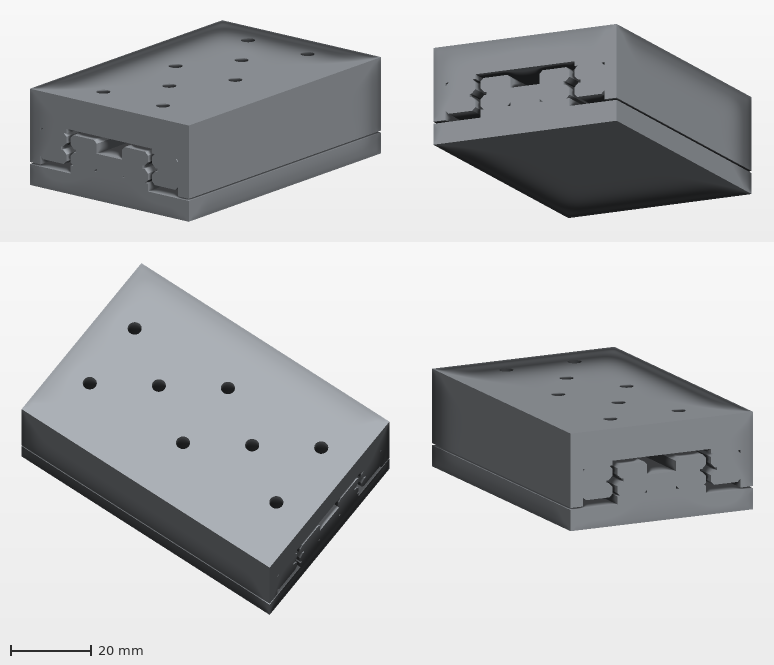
import cadquery as cq

width = 50.8
length = 76.2
height = 25.0

base_thickness = 5.4
step_top = 7.5
rib_top = 12.1

rail_width = 8.3
rail_height = 8.1
rail_corner_chamfer = 0.85
inner_rail_start = 4.05
rail_gap = 1.4

vee_half_height = 1.45
relief_half_height = 0.4
relief_depth = 1.7

carriage_gap = 0.5
ceiling_clearance = 1.2

hole_diameter = 3.5
hole_side_offset = 9.5
hole_row_pitch = 14.3

inner_rail_end = inner_rail_start + rail_width
outer_rail_start = inner_rail_end + rail_gap
outer_rail_end = outer_rail_start + rail_width
rail_top = step_top + rail_height
ceiling = rail_top + ceiling_clearance
carriage_bottom = base_thickness + carriage_gap
rail_middle = step_top + rail_height / 2


def centred_block(block_width, bottom, top):
    """Full-length block centred on X and Y, between two heights."""
    return cq.Workplane("XY").workplane(offset=bottom).rect(block_width, length).extrude(top - bottom)


def make_base():
    """Plate, step and centre rib that locate the inner rails."""
    plate = centred_block(width, 0, base_thickness)
    step = centred_block(2 * inner_rail_end, base_thickness, step_top)
    rib = centred_block(2 * inner_rail_start, step_top, rib_top)
    return plate.union(step).union(rib)


def make_carriage():
    """Channel with seats for the outer rails, a raised ceiling and mounting holes."""
    block = centred_block(width, carriage_bottom, height)
    rail_channel = centred_block(2 * outer_rail_end, carriage_bottom, rail_top)
    ceiling_recess = centred_block(2 * outer_rail_start, rail_top, ceiling)

    hole_points = []
    for row in range(-2, 3):
        row_y = row * hole_row_pitch
        if row % 2 == 0:
            hole_points += [(-hole_side_offset, row_y), (hole_side_offset, row_y)]
        else:
            hole_points.append((0, row_y))
    holes = (
        cq.Workplane("XY")
        .workplane(offset=ceiling)
        .pushPoints(hole_points)
        .circle(hole_diameter / 2)
        .extrude(height - ceiling)
    )
    return block.cut(rail_channel).cut(ceiling_recess).cut(holes)


def make_rail(raceway_x, back_direction):
    """Rail whose raceway face is at raceway_x and whose back lies towards back_direction (+1 or -1)."""
    bar = (
        cq.Workplane("XY")
        .box(rail_width, length, rail_height)
        .edges("|Y")
        .chamfer(rail_corner_chamfer)
        .translate((raceway_x + back_direction * rail_width / 2, 0, rail_middle))
    )

    relief_mouth_depth = vee_half_height - relief_half_height
    raceway_profile = [
        (0, vee_half_height),
        (relief_mouth_depth, relief_half_height),
        (relief_depth, relief_half_height),
        (relief_depth, -relief_half_height),
        (relief_mouth_depth, -relief_half_height),
        (0, -vee_half_height),
    ]
    raceway = (
        cq.Workplane("XZ")
        .polyline([(raceway_x + back_direction * depth, rail_middle + z) for depth, z in raceway_profile])
        .close()
        .extrude(length / 2, both=True)
    )
    return bar.cut(raceway)


base = make_base()
carriage = make_carriage()
rails = []
for side in (-1, 1):
    rails.append(make_rail(side * inner_rail_end, -side))
    rails.append(make_rail(side * outer_rail_start, side))

result = cq.Compound.makeCompound([base.val(), carriage.val(), *[rail.val() for rail in rails]])